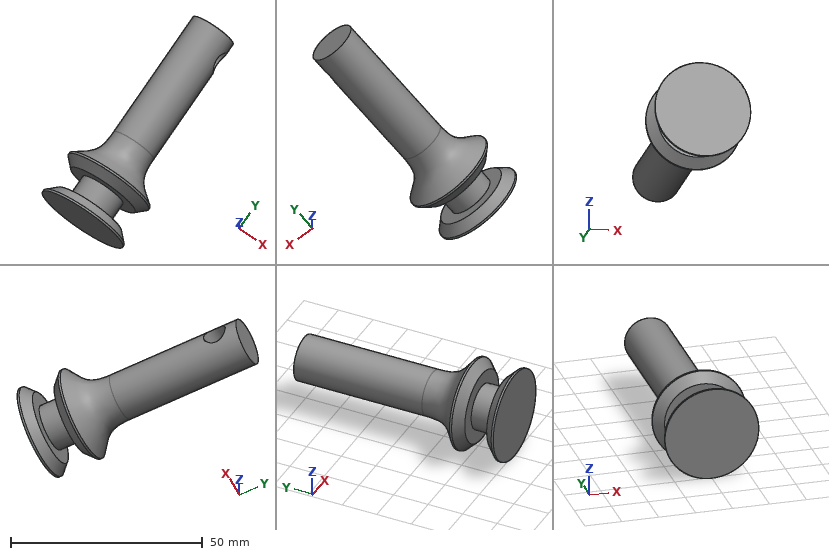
import cadquery as cq

total_length = 60.95
flange_diameter = 25.4
rim_width = 0.6
edge_chamfer = 2.55
groove_width = 6.35
flare_length = 11.1
flare_rim_pull_in = 4.75
flare_rim_pull_back = 3.65
flare_shaft_pull = 6.6
hole_diameter = 6.35
hole_from_end = 6.35

flange_radius = flange_diameter / 2
shaft_radius = flange_radius / 2
chamfered_radius = flange_radius - edge_chamfer

disc_back = rim_width + edge_chamfer
collar_front = disc_back + groove_width
collar_rim_front = collar_front + edge_chamfer
collar_rim_back = collar_rim_front + rim_width

flare_end = collar_rim_back + flare_length
flare_controls = [
    (flange_radius, collar_rim_back),
    (flange_radius - flare_rim_pull_in, collar_rim_back + flare_rim_pull_back),
    (shaft_radius, flare_end - flare_shaft_pull),
    (shaft_radius, flare_end),
]


def turned_body():
    """Front disc, groove, flared collar and shaft as one revolved profile."""
    return (
        cq.Workplane("XY")
        .lineTo(flange_radius, 0)
        .lineTo(flange_radius, rim_width)
        .lineTo(chamfered_radius, disc_back)
        .lineTo(shaft_radius, disc_back)
        .lineTo(shaft_radius, collar_front)
        .lineTo(chamfered_radius, collar_front)
        .lineTo(flange_radius, collar_rim_front)
        .lineTo(flange_radius, collar_rim_back)
        .bezier(flare_controls)
        .lineTo(shaft_radius, total_length)
        .lineTo(0, total_length)
        .close()
        .revolve(360, (0, 0, 0), (0, 1, 0))
    )


def cross_hole():
    """Blind radial hole entering from the +X side and ending at the shaft axis."""
    return (
        cq.Workplane("YZ")
        .center(total_length - hole_from_end, 0)
        .circle(hole_diameter / 2)
        .extrude(flange_radius)
    )


result = turned_body().cut(cross_hole())